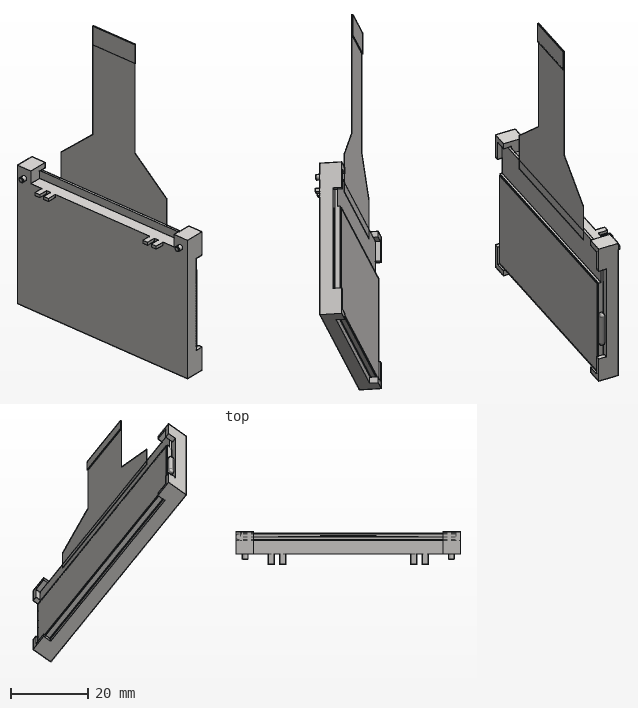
import cadquery as cq

HOUSING_WIDTH = 58.2
HOUSING_DEPTH = 5.8
HOUSING_HEIGHT = 41.7
POST_WIDTH = 4.6
POST_HEIGHT = 7.0
RECESS_DEPTH = 2.25
SIDE_WALL = 1.3
END_WALL = 1.6
TOP_NOTCH_DEPTH = 3.8
PIN_DIAMETER = 1.5
PIN_LENGTH = 1.4
PIN_CHAMFER = 0.2
PIN_FROM_SIDE = 2.4
PIN_FROM_TOP = 3.0
TERMINAL_WIDTH = 1.6
TERMINAL_THICKNESS = 0.9
TERMINAL_LENGTH = 2.7
TERMINAL_FROM_SIDE = 8.4
TERMINAL_PITCH = 3.0

GLASS_THICKNESS = 0.68
FILM_THICKNESS = 0.3
FILM_INSET = 0.3
GLASS_LEDGE = 10.1
SEAL_THICKNESS = 1.5
SEAL_LENGTH = 10.0
SEAL_CENTER_Z = 15.6
SEAL_PROTRUSION = 1.3
SEAL_ROUNDING = 0.7

CABLE_TOP = 90.1
CABLE_THICKNESS = 0.1
CABLE_WIDE = 36.1
CABLE_NARROW = 14.4
CABLE_TAPER_BOTTOM = 47.9
CABLE_TAPER_TOP = 57.5
CABLE_OVERLAP = 2.7
STIFFENER_THICKNESS = 0.3
STIFFENER_LENGTH = 5.7

HALF_WIDTH = HOUSING_WIDTH / 2
RECESS_FLOOR_Y = HOUSING_DEPTH - RECESS_DEPTH
TOP_NOTCH_Z = HOUSING_HEIGHT - TOP_NOTCH_DEPTH
GLASS_WIDTH = HOUSING_WIDTH - 2 * SIDE_WALL
GLASS_BOTTOM_Z = END_WALL
GLASS_TOP_Z = HOUSING_HEIGHT - END_WALL
FRONT_GLASS_Y = RECESS_FLOOR_Y + FILM_THICKNESS
GLASS_JOINT_Y = FRONT_GLASS_Y + GLASS_THICKNESS
REAR_FILM_Y = GLASS_JOINT_Y + GLASS_THICKNESS
REAR_GLASS_TOP_Z = GLASS_TOP_Z - GLASS_LEDGE


def block(width, y_start, depth, z_bottom, z_top, x_center=0.0):
    """Box centred on x_center, running from y_start toward +Y."""
    corner = (x_center - width / 2, y_start, z_bottom)
    return cq.Workplane("XY").box(width, depth, z_top - z_bottom, centered=False).translate(corner)


def make_housing():
    body = block(HOUSING_WIDTH, 0, HOUSING_DEPTH, 0, HOUSING_HEIGHT)

    body = body.cut(block(GLASS_WIDTH, RECESS_FLOOR_Y, RECESS_DEPTH, GLASS_BOTTOM_Z, GLASS_TOP_Z))

    post_gap = HOUSING_WIDTH - 2 * POST_WIDTH
    body = body.cut(block(post_gap, RECESS_FLOOR_Y, RECESS_DEPTH, 0, HOUSING_HEIGHT))
    side_top = HOUSING_HEIGHT - POST_HEIGHT
    body = body.cut(block(HOUSING_WIDTH, RECESS_FLOOR_Y, RECESS_DEPTH, POST_HEIGHT, side_top))

    body = body.cut(block(post_gap, 0, HOUSING_DEPTH, TOP_NOTCH_Z, HOUSING_HEIGHT))

    for side in (-1, 1):
        pin_x = side * (HALF_WIDTH - PIN_FROM_SIDE)
        pin_z = HOUSING_HEIGHT - PIN_FROM_TOP
        pin = cq.Workplane("XZ", origin=(pin_x, 0, pin_z)).circle(PIN_DIAMETER / 2).extrude(PIN_LENGTH)
        body = body.union(pin.faces("<Y").chamfer(PIN_CHAMFER))

        for index in range(2):
            inward = TERMINAL_FROM_SIDE + TERMINAL_WIDTH / 2 + index * TERMINAL_PITCH
            center_x = side * (HALF_WIDTH - inward)
            bottom = TOP_NOTCH_Z - TERMINAL_THICKNESS
            terminal = block(TERMINAL_WIDTH, -TERMINAL_LENGTH, TERMINAL_LENGTH, bottom, TOP_NOTCH_Z, center_x)
            body = body.union(terminal)
    return body


def make_end_seal():
    """Rounded bar across the glass joint at the -X end."""
    return (
        cq.Workplane("YZ", origin=(-GLASS_WIDTH / 2, GLASS_JOINT_Y, SEAL_CENTER_Z))
        .slot2D(SEAL_LENGTH, SEAL_THICKNESS, 90)
        .extrude(-SEAL_PROTRUSION)
        .faces("<X")
        .edges()
        .fillet(SEAL_ROUNDING)
    )


def make_display():
    film_width = GLASS_WIDTH - 2 * FILM_INSET
    film_bottom = GLASS_BOTTOM_Z + FILM_INSET
    film_top = REAR_GLASS_TOP_Z - FILM_INSET

    panel = block(GLASS_WIDTH, FRONT_GLASS_Y, GLASS_THICKNESS, GLASS_BOTTOM_Z, GLASS_TOP_Z)
    panel = panel.union(block(GLASS_WIDTH, GLASS_JOINT_Y, GLASS_THICKNESS, GLASS_BOTTOM_Z, REAR_GLASS_TOP_Z))
    for film_y in (RECESS_FLOOR_Y, REAR_FILM_Y):
        panel = panel.union(block(film_width, film_y, FILM_THICKNESS, film_bottom, film_top))
    return panel.union(make_end_seal())


def make_cable():
    wide = CABLE_WIDE / 2
    narrow = CABLE_NARROW / 2
    right_side = [
        (wide, GLASS_TOP_Z - CABLE_OVERLAP),
        (wide, CABLE_TAPER_BOTTOM),
        (narrow, CABLE_TAPER_TOP),
        (narrow, CABLE_TOP),
    ]
    left_side = [(-x, z) for x, z in reversed(right_side)]
    strip = (
        cq.Workplane("XZ", origin=(0, GLASS_JOINT_Y, 0))
        .polyline(right_side + left_side)
        .close()
        .extrude(-CABLE_THICKNESS)
    )

    stiffener_y = GLASS_JOINT_Y + CABLE_THICKNESS
    stiffener_bottom = CABLE_TOP - STIFFENER_LENGTH
    return strip.union(block(CABLE_NARROW, stiffener_y, STIFFENER_THICKNESS, stiffener_bottom, CABLE_TOP))


housing = make_housing()
display = make_display()
cable = make_cable()

result = cq.Compound.makeCompound([housing.val(), display.val(), cable.val()])